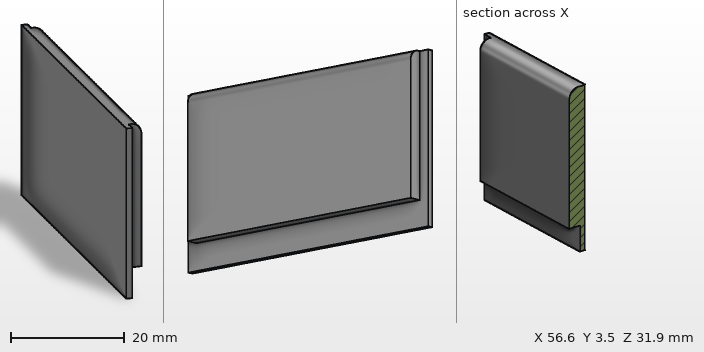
import cadquery as cq

plate_width = 56.56
plate_height = 31.85
plate_thickness = 1.1

total_depth = 3.5
side_margin = 2.0
bottom_margin = 5.0
top_edge_radius = 2.0

pad_width = plate_width - 2 * side_margin
pad_height = plate_height - bottom_margin
pad_depth = total_depth - plate_thickness


def make_plate():
    """Flat rectangular plate, front face on Y = 0 and bottom edge on Z = 0."""
    return cq.Workplane("XY").box(
        plate_width, plate_thickness, plate_height, centered=(True, False, False)
    )


def make_pad():
    """Pad behind the plate with its upper back edge rounded."""
    pad = cq.Workplane("XY").box(
        pad_width, pad_depth, pad_height, centered=(True, False, False)
    )
    pad = pad.edges(">Y and >Z").fillet(top_edge_radius)
    return pad.translate((0, plate_thickness, bottom_margin))


result = make_plate().union(make_pad())